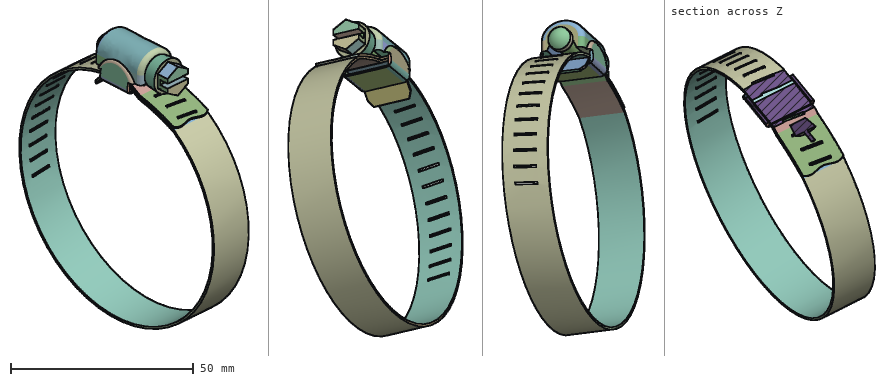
import cadquery as cq
import math


RING_RADIUS = 38.3
BAND_WIDTH = 13.25
BAND_THICKNESS = 0.7
LAYER_GAP = 0.1
SEAM_RADIUS = RING_RADIUS - BAND_THICKNESS - LAYER_GAP / 2
LIFT_START_X = -5.3
LIFT_END_X = 5.0
LIFT_END_Z = 38.0
KINK_X = 8.95
KINK_Z = 35.7
LAP_RADIUS = 60.2
LAP_END_ANGLE = 53.8
TAIL_SLOPE = 47.0
TAIL_LENGTH = 6.45
TAIL_CORNER_LENGTH = 2.1
TAIL_CORNER_WIDTH = 1.2
LOBE_HEIGHT = 0.8
LOBE_OFFSET = 4.2

SLOT_LENGTH = 6.45
SLOT_WIDTH = 0.6
SLOT_SLANT = 5.5
SLOT_PITCH_ANGLE = 7.03
FIRST_SLOT_ANGLE = 194.1
RING_SLOT_COUNT = 14
LIFT_SLOT_COUNT = 2
LIFT_SLOT_MARGIN = 1.7
LAP_SLOT_COUNT = 3
LAP_SLOT_MARGIN = 2.3

HOUSING_LENGTH = 18.4
HOUSING_HALF_WIDTH = 6.4
HOUSING_TOP = 47.75
HOUSING_SHOULDER = 42.25
HOUSING_BOTTOM = 39.1
HOUSING_END_RADIUS = 1.55
OPENING_FLARE_TOP_HALF = 3.1
OPENING_FLARE_BOTTOM_HALF = 4.3

SADDLE_LENGTH = 10.7
SADDLE_BOTTOM = 35.2
SADDLE_FLOOR = 35.7
SADDLE_INNER_HALF = 6.8
SADDLE_OUTER_HALF = 7.8
SADDLE_CORNER_RADIUS = 1.9
EAR_CENTER_Z = 35.8
EAR_RADIUS = 7.6
EAR_EDGE_RADIUS = 0.95
EAR_ROOT_HALF = 5.3
EAR_TOP_HALF = 6.9
EAR_TOP = EAR_CENTER_Z + EAR_RADIUS

SCREW_Z = 41.6
SHAFT_RADIUS = 3.3
CORE_RADIUS = 2.4
SHAFT_TIP_X = -11.2
DOME_HEIGHT = 1.8
COLLAR_START_RADIUS = 4.9
COLLAR_END_RADIUS = 5.3
COLLAR_LENGTH = 4.1
HEX_ACROSS_CORNERS = 9.1
HEX_LENGTH = 3.9
DRIVE_SLOT_WIDTH = 1.55
DRIVE_SLOT_DEPTH = 2.9


def polar(radius, angle, center=(0, 0)):
    """Point in the XZ plane at a radius and an angle measured from +X toward +Z."""
    turn = math.radians(angle)
    return (center[0] + radius * math.cos(turn), center[1] + radius * math.sin(turn))


LAP_START = (KINK_X, KINK_Z)
LAP_END = polar(RING_RADIUS + LAYER_GAP / 2, LAP_END_ANGLE)
LAP_CHORD = math.dist(LAP_START, LAP_END)
LAP_SLOPE = math.degrees(math.atan2(LAP_START[1] - LAP_END[1], LAP_END[0] - LAP_START[0]))
LAP_MID_ANGLE = 90 - LAP_SLOPE
LAP_HALF_TURN = math.degrees(math.asin(LAP_CHORD / 2 / LAP_RADIUS))
LAP_START_ANGLE = LAP_MID_ANGLE + LAP_HALF_TURN
LAP_CENTER = polar(-LAP_RADIUS, LAP_START_ANGLE, LAP_START)

LIFT_START_ANGLE = math.degrees(math.acos(LIFT_START_X / SEAM_RADIUS))
LIFT_START = polar(SEAM_RADIUS, LIFT_START_ANGLE)
LIFT_END = (LIFT_END_X, LIFT_END_Z)
LIFT_NORMAL = 90 + math.degrees(
    math.atan2(LIFT_END[1] - LIFT_START[1], LIFT_END[0] - LIFT_START[0])
)
RAMP_NORMAL = 90 - math.degrees(
    math.atan2(LIFT_END[1] - LAP_START[1], LAP_START[0] - LIFT_END[0])
)


def seam_run(offset):
    """Points beside the seam, from the end of the lift to the end of the outer layer."""
    lift_end = polar(offset, (LIFT_NORMAL + RAMP_NORMAL) / 2, LIFT_END)
    kink = polar(offset, (RAMP_NORMAL + LAP_START_ANGLE) / 2, LAP_START)
    lap_middle = polar(LAP_RADIUS + offset, LAP_MID_ANGLE, LAP_CENTER)
    lap_end = polar(offset, LAP_END_ANGLE, LAP_END)
    return lift_end, kink, lap_middle, lap_end


def tail_run(offset):
    """Points beside the seam at the tail tip and at the bend where the lift begins."""
    tail_normal = 90 + TAIL_SLOPE
    tip_center = polar(TAIL_LENGTH, 180 + TAIL_SLOPE, LIFT_START)
    tip = polar(offset, tail_normal, tip_center)
    bend = polar(offset, (LIFT_NORMAL + tail_normal) / 2, LIFT_START)
    return tip, bend


def layer_cutter(outline, origin, normal_angle):
    """Closed outline, drawn along and across the band, as a tool that cuts one layer."""
    depth = BAND_THICKNESS + LAYER_GAP
    x, z = origin
    return (
        outline.extrude(depth / 2, both=True)
        .rotate((0, 0, 0), (0, 1, 0), 90 - normal_angle)
        .translate((x, 0, z))
    )


def slot_cutter(distance, angle, center=(0, 0)):
    """Slanted slot at a distance from a center of curvature."""
    shift = SLOT_LENGTH / 2 * math.tan(math.radians(SLOT_SLANT))
    half_length = SLOT_LENGTH / 2
    half_width = SLOT_WIDTH / 2
    outline = (
        cq.Workplane("XY")
        .polyline([
            (shift - half_width, half_length),
            (shift + half_width, half_length),
            (-shift + half_width, -half_length),
            (-shift - half_width, -half_length),
        ])
        .close()
    )
    return layer_cutter(outline, polar(distance, angle, center), angle)


def tail_corner_cutters():
    """Wedges that slope off both corners of the tail."""
    layer_offset = (BAND_THICKNESS + LAYER_GAP) / 2
    normal = 90 + TAIL_SLOPE
    tip = polar(TAIL_LENGTH, 180 + TAIL_SLOPE, LIFT_START)
    edge = BAND_WIDTH / 2
    cutters = []
    for side in (1, -1):
        outline = (
            cq.Workplane("XY")
            .polyline([
                (0, side * edge),
                (TAIL_CORNER_LENGTH, side * edge),
                (0, side * (edge - TAIL_CORNER_WIDTH)),
            ])
            .close()
        )
        cutters.append(layer_cutter(outline, polar(-layer_offset, normal, tip), normal))
    return cutters


def lobed_end_cutter():
    """Waste beyond the two-lobed edge of the outer layer."""
    layer_offset = (BAND_THICKNESS + LAYER_GAP) / 2
    normal = LAP_MID_ANGLE - LAP_HALF_TURN
    edge = BAND_WIDTH / 2
    outline = (
        cq.Workplane("XY")
        .moveTo(-LOBE_HEIGHT, -edge)
        .spline(
            [(0, -LOBE_OFFSET), (-LOBE_HEIGHT, 0), (0, LOBE_OFFSET), (-LOBE_HEIGHT, edge)],
            includeCurrent=True,
        )
        .lineTo(LOBE_HEIGHT, edge)
        .lineTo(LOBE_HEIGHT, -edge)
        .close()
    )
    return layer_cutter(outline, polar(layer_offset, normal, LAP_END), normal)


def band_slots():
    slot_pitch = math.radians(SLOT_PITCH_ANGLE) * RING_RADIUS
    layer_offset = (BAND_THICKNESS + LAYER_GAP) / 2
    cutters = []
    for index in range(RING_SLOT_COUNT):
        angle = FIRST_SLOT_ANGLE - index * SLOT_PITCH_ANGLE
        cutters.append(slot_cutter(SEAM_RADIUS + layer_offset, angle))
    for index in range(LIFT_SLOT_COUNT):
        from_start = LIFT_SLOT_MARGIN + index * slot_pitch
        seam_point = polar(from_start, LIFT_NORMAL - 90, LIFT_START)
        cutters.append(slot_cutter(layer_offset, LIFT_NORMAL, seam_point))
    ramp_middle = ((LIFT_END_X + KINK_X) / 2, (LIFT_END_Z + KINK_Z) / 2)
    cutters.append(slot_cutter(layer_offset, RAMP_NORMAL, ramp_middle))
    for index in range(LAP_SLOT_COUNT):
        from_end = LAP_SLOT_MARGIN + index * slot_pitch
        angle = LAP_MID_ANGLE - LAP_HALF_TURN + math.degrees(from_end / LAP_RADIUS)
        cutters.append(slot_cutter(LAP_RADIUS + layer_offset, angle, LAP_CENTER))
    return cutters


def make_band():
    near = LAYER_GAP / 2
    far = near + BAND_THICKNESS
    ring_bottom = (0, -RING_RADIUS)
    ring_bottom_inside = (0, -RING_RADIUS + BAND_THICKNESS)

    ring_start = polar(RING_RADIUS, LIFT_START_ANGLE)
    ring_start_inside = polar(RING_RADIUS - BAND_THICKNESS, LIFT_START_ANGLE)

    tip, bend = tail_run(-near)
    lift_end, kink, lap_middle, lap_end = seam_run(-near)
    profile = (
        cq.Workplane("XZ").moveTo(*tip).lineTo(*bend)
        .lineTo(*lift_end).lineTo(*kink).threePointArc(lap_middle, lap_end)
    )
    lift_end, kink, lap_middle, lap_end = seam_run(far)
    profile = (
        profile.threePointArc(ring_bottom, ring_start)
        .lineTo(*lift_end).lineTo(*kink).threePointArc(lap_middle, lap_end)
    )

    lift_end, kink, lap_middle, lap_end = seam_run(near)
    profile = (
        profile.lineTo(*lap_end).threePointArc(lap_middle, kink)
        .lineTo(*lift_end).lineTo(*ring_start_inside)
    )
    tip, bend = tail_run(-far)
    lift_end, kink, lap_middle, lap_end = seam_run(-far)
    profile = (
        profile.threePointArc(ring_bottom_inside, lap_end).threePointArc(lap_middle, kink)
        .lineTo(*lift_end).lineTo(*bend).lineTo(*tip).close()
    )
    band = profile.extrude(BAND_WIDTH / 2, both=True)
    for cutter in [*band_slots(), *tail_corner_cutters(), lobed_end_cutter()]:
        band = band.cut(cutter)
    return band


def upright_box(length, half_width, bottom, top):
    """Box centered on the Z axis between two heights."""
    box = cq.Workplane("XY").box(
        length, 2 * half_width, top - bottom, centered=(True, True, False)
    )
    return box.translate((0, 0, bottom))


def make_shell():
    """Block with an elliptical roof, rounded ends and an opening for the screw."""
    shell = (
        cq.Workplane("YZ", origin=(-HOUSING_LENGTH / 2, 0, 0))
        .moveTo(HOUSING_HALF_WIDTH, HOUSING_BOTTOM)
        .lineTo(HOUSING_HALF_WIDTH, HOUSING_SHOULDER)
        .ellipseArc(HOUSING_HALF_WIDTH, HOUSING_TOP - HOUSING_SHOULDER, 0, 180, startAtCurrent=True)
        .lineTo(-HOUSING_HALF_WIDTH, HOUSING_BOTTOM)
        .close()
        .extrude(HOUSING_LENGTH)
    )
    end_edges = shell.faces("<X or >X").edges("not <Z")
    return end_edges.fillet(HOUSING_END_RADIUS)


def screw_opening():
    """Bore for the shaft, flared toward the open underside."""
    bore = (
        cq.Workplane("YZ").center(0, SCREW_Z).circle(SHAFT_RADIUS)
        .extrude(HOUSING_LENGTH / 2, both=True)
    )
    flare = (
        cq.Workplane("YZ")
        .polyline([
            (-OPENING_FLARE_TOP_HALF, SCREW_Z),
            (OPENING_FLARE_TOP_HALF, SCREW_Z),
            (OPENING_FLARE_BOTTOM_HALF, HOUSING_BOTTOM),
            (-OPENING_FLARE_BOTTOM_HALF, HOUSING_BOTTOM),
        ])
        .close()
        .extrude(HOUSING_LENGTH / 2, both=True)
    )
    return bore.union(flare)


def saddle_block(length, bottom, top):
    """Slice of a solid whose leaning sides widen downward from the ear tops to round corners."""
    corner_z = SADDLE_BOTTOM + SADDLE_CORNER_RADIUS
    corner_y = SADDLE_OUTER_HALF - SADDLE_CORNER_RADIUS
    block = (
        cq.Workplane("YZ")
        .moveTo(-EAR_TOP_HALF, EAR_TOP)
        .lineTo(-SADDLE_OUTER_HALF, corner_z)
        .radiusArc((-corner_y, SADDLE_BOTTOM), -SADDLE_CORNER_RADIUS)
        .lineTo(corner_y, SADDLE_BOTTOM)
        .radiusArc((SADDLE_OUTER_HALF, corner_z), -SADDLE_CORNER_RADIUS)
        .lineTo(EAR_TOP_HALF, EAR_TOP)
        .close()
        .extrude(length / 2, both=True)
    )
    return block.intersect(upright_box(length, SADDLE_OUTER_HALF, bottom, top))


def make_ears():
    """Round-topped pads that join the saddle to both sides of the housing."""
    disc = (
        cq.Workplane("XZ").center(0, EAR_CENTER_Z).circle(EAR_RADIUS)
        .extrude(SADDLE_OUTER_HALF, both=True)
    )
    ears = saddle_block(2 * EAR_RADIUS, HOUSING_BOTTOM, EAR_TOP).intersect(disc)
    ears = ears.cut(upright_box(2 * EAR_RADIUS, EAR_ROOT_HALF, HOUSING_BOTTOM, EAR_TOP))
    return ears.faces("<Y or >Y").edges("not |X").fillet(EAR_EDGE_RADIUS)


def make_housing():
    saddle = saddle_block(SADDLE_LENGTH, SADDLE_BOTTOM, HOUSING_BOTTOM)
    passage = upright_box(SADDLE_LENGTH, SADDLE_INNER_HALF, SADDLE_FLOOR, HOUSING_BOTTOM)
    shell = make_shell().cut(screw_opening())
    return shell.union(make_ears()).union(saddle.cut(passage))


def make_screw():
    collar_x = HOUSING_LENGTH / 2
    hex_x = collar_x + COLLAR_LENGTH
    end_x = hex_x + HEX_LENGTH
    dome_radius = (SHAFT_RADIUS ** 2 + DOME_HEIGHT ** 2) / (2 * DOME_HEIGHT)
    body = (
        cq.Workplane("XY")
        .moveTo(SHAFT_TIP_X - DOME_HEIGHT, 0)
        .radiusArc((SHAFT_TIP_X, SHAFT_RADIUS), dome_radius)
        .lineTo(-collar_x, SHAFT_RADIUS)
        .lineTo(-collar_x, CORE_RADIUS)
        .lineTo(collar_x, CORE_RADIUS)
        .lineTo(collar_x, COLLAR_START_RADIUS)
        .lineTo(hex_x, COLLAR_END_RADIUS)
        .lineTo(hex_x, 0)
        .close()
        .revolve(360, (0, 0, 0), (1, 0, 0))
    )
    head = (
        cq.Workplane("YZ", origin=(hex_x, 0, 0))
        .transformed(rotate=(0, 0, 90))
        .polygon(6, HEX_ACROSS_CORNERS)
        .extrude(HEX_LENGTH)
    )
    drive_slot = cq.Workplane("XY").box(
        2 * DRIVE_SLOT_DEPTH, HEX_ACROSS_CORNERS, DRIVE_SLOT_WIDTH
    ).translate((end_x, 0, 0))
    return body.union(head).cut(drive_slot).translate((0, 0, SCREW_Z))


band = make_band()
housing = make_housing()
screw = make_screw()

result = cq.Compound.makeCompound([band.solids().val(), housing.solids().val(), screw.solids().val()])